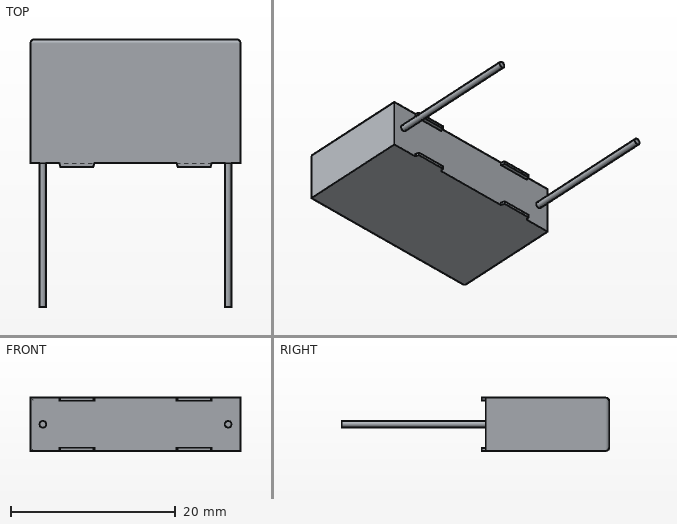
import cadquery as cq

TOTAL_LENGTH = 32.5
CASE_WIDTH = 25.5
CASE_HEIGHT = 6.5
CASE_LENGTH = 15.0
BACK_FILLET = 0.5

FOOT_SPACING = 14.25
FOOT_BASE_WIDTH = 4.3
FOOT_TIP_WIDTH = 4.0
FOOT_LENGTH = 0.5
FOOT_THICKNESS = 0.4

LEAD_SPACING = 22.5
LEAD_DIAMETER = 0.8

CASE_FRONT_Y = 0.0
LEAD_LENGTH = TOTAL_LENGTH - CASE_LENGTH


def make_foot(center_x, bottom_z):
    """Tapered stand-off foot on the lead end of the case."""
    half_base = FOOT_BASE_WIDTH / 2
    half_tip = FOOT_TIP_WIDTH / 2
    tip_y = CASE_FRONT_Y - FOOT_LENGTH
    return (
        cq.Workplane("XY", origin=(center_x, 0, bottom_z))
        .moveTo(-half_base, CASE_FRONT_Y)
        .lineTo(-half_tip, tip_y)
        .lineTo(half_tip, tip_y)
        .lineTo(half_base, CASE_FRONT_Y)
        .close()
        .extrude(FOOT_THICKNESS)
    )


def make_case():
    """Rectangular case with a rounded back and four feet at the lead end."""
    case = (
        cq.Workplane("XY", origin=(0, CASE_FRONT_Y + CASE_LENGTH / 2, 0))
        .box(CASE_WIDTH, CASE_LENGTH, CASE_HEIGHT)
        .faces(">Y")
        .edges()
        .fillet(BACK_FILLET)
    )
    for center_x in (-FOOT_SPACING / 2, FOOT_SPACING / 2):
        for bottom_z in (-CASE_HEIGHT / 2, CASE_HEIGHT / 2 - FOOT_THICKNESS):
            case = case.union(make_foot(center_x, bottom_z))
    return case


def make_lead(center_x):
    """Straight round wire lead that starts at the front face of the case."""
    return (
        cq.Workplane("XZ", origin=(center_x, CASE_FRONT_Y, 0))
        .circle(LEAD_DIAMETER / 2)
        .extrude(LEAD_LENGTH)
    )


case = make_case()
leads = [make_lead(center_x) for center_x in (-LEAD_SPACING / 2, LEAD_SPACING / 2)]

result = cq.Compound.makeCompound([case.val(), *[lead.val() for lead in leads]])